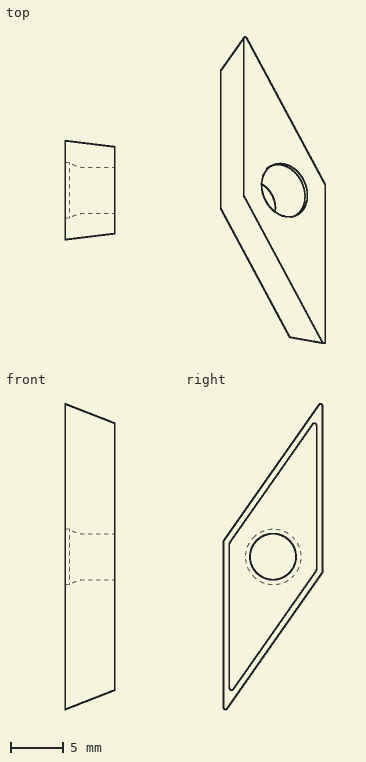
import cadquery as cq
import math

INSCRIBED_CIRCLE = 9.52
THICKNESS = 4.76
NOSE_ANGLE = 35.0
CLEARANCE_ANGLE = 7.0
NOSE_RADIUS = 0.2

BORE_DIAMETER = 4.4
MOUTH_DIAMETER = 5.33
MOUTH_DEPTH = 0.4
SEAT_ARC_RADIUS = 2.5


def insert_body():
    """Rhombus with two edges along Z, tapering by the clearance angle towards +X."""
    nose = math.radians(NOSE_ANGLE)
    edge_length = INSCRIBED_CIRCLE / math.sin(nose)
    half_width = INSCRIBED_CIRCLE / 2
    nose_height = edge_length * (1 + math.cos(nose)) / 2
    blunt_height = nose_height - edge_length
    corners = [
        (half_width, nose_height),
        (half_width, blunt_height),
        (-half_width, -nose_height),
        (-half_width, -blunt_height),
    ]
    body = cq.Workplane("YZ").polyline(corners).close().extrude(THICKNESS, taper=CLEARANCE_ANGLE)
    corner_edges = body.edges("not #X")
    return corner_edges.fillet(NOSE_RADIUS)


def clamping_hole():
    """Through hole along X: short straight mouth, then a rounded screw seat tangent to the bore."""
    bore_radius = BORE_DIAMETER / 2
    mouth_radius = MOUTH_DIAMETER / 2
    seat_step = mouth_radius - bore_radius
    seat_angle = math.acos(1 - seat_step / SEAT_ARC_RADIUS)
    seat_end = MOUTH_DEPTH + SEAT_ARC_RADIUS * math.sin(seat_angle)
    arc_middle = (
        seat_end - SEAT_ARC_RADIUS * math.sin(seat_angle / 2),
        -bore_radius - SEAT_ARC_RADIUS * (1 - math.cos(seat_angle / 2)),
    )
    profile = (
        cq.Workplane("XZ")
        .lineTo(0, -mouth_radius)
        .lineTo(MOUTH_DEPTH, -mouth_radius)
        .threePointArc(arc_middle, (seat_end, -bore_radius))
        .lineTo(THICKNESS, -bore_radius)
        .lineTo(THICKNESS, 0)
        .close()
    )
    return profile.revolve(360, (0, 0), (1, 0))


result = insert_body().cut(clamping_hole())